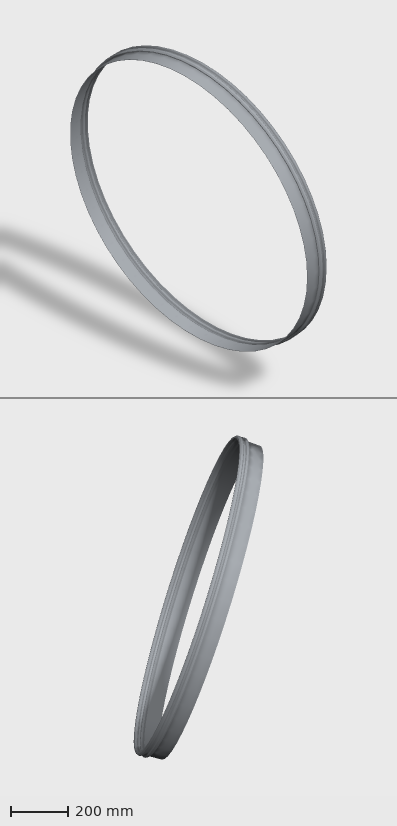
import cadquery as cq

outer_diameter = 1176.0
total_length = 89.0

corrugation_width = 36.0
rib_flat = 7.0
groove_flat = 6.0
rib_slope_length = 5.0

sleeve_rib_diameter = outer_diameter
sleeve_root_diameter = 1168.0

shell_rib_diameter = 1172.0
shell_root_diameter = 1163.0
corrugation_wall = 5.0
skirt_diameter = 1158.0
skirt_tip_diameter = 1154.0
skirt_wall = 2.0

back_y = total_length / 2
front_y = -total_length / 2
corrugation_front_y = back_y - corrugation_width
corrugation_middle_y = (back_y + corrugation_front_y) / 2


def corrugated_side(root_radius, rib_radius):
    """Corrugated (radius, y) points from back to front, symmetric about the middle."""
    rib_back_y = back_y - rib_slope_length
    rib_front_y = rib_back_y - rib_flat
    groove_back_y = corrugation_middle_y + groove_flat / 2
    back_half = [
        (root_radius, back_y),
        (rib_radius, rib_back_y),
        (rib_radius, rib_front_y),
        (root_radius, groove_back_y),
    ]
    front_half = [(radius, 2 * corrugation_middle_y - y) for radius, y in reversed(back_half)]
    return back_half + front_half


def revolve_between(outer_side, inner_side):
    """Revolve the area between two sides, both listed from back to front, around the Y axis."""
    outline = cq.Workplane("XY").polyline(outer_side + inner_side[::-1]).close()
    return outline.revolve(360, (0, 0, 0), (0, 1, 0))


def shrink(side, wall):
    """Move the points of a side inward by a wall thickness."""
    return [(radius - wall, y) for radius, y in side]


sleeve_outside = corrugated_side(sleeve_root_diameter / 2, sleeve_rib_diameter / 2)
shell_corrugation = corrugated_side(shell_root_diameter / 2, shell_rib_diameter / 2)


def make_sleeve():
    return revolve_between(sleeve_outside, shell_corrugation)


def make_shell():
    """The skirt is stepped in from the corrugated end on the outside, and flush with it inside."""
    skirt = [(skirt_diameter / 2, corrugation_front_y), (skirt_tip_diameter / 2, front_y)]
    corrugation_inside = shrink(shell_corrugation, corrugation_wall)
    inside = corrugation_inside + shrink(skirt, skirt_wall)[1:]
    return revolve_between(shell_corrugation + skirt, inside)


shell = make_shell()
sleeve = make_sleeve()

result = cq.Compound.makeCompound([shell.val(), sleeve.val()])